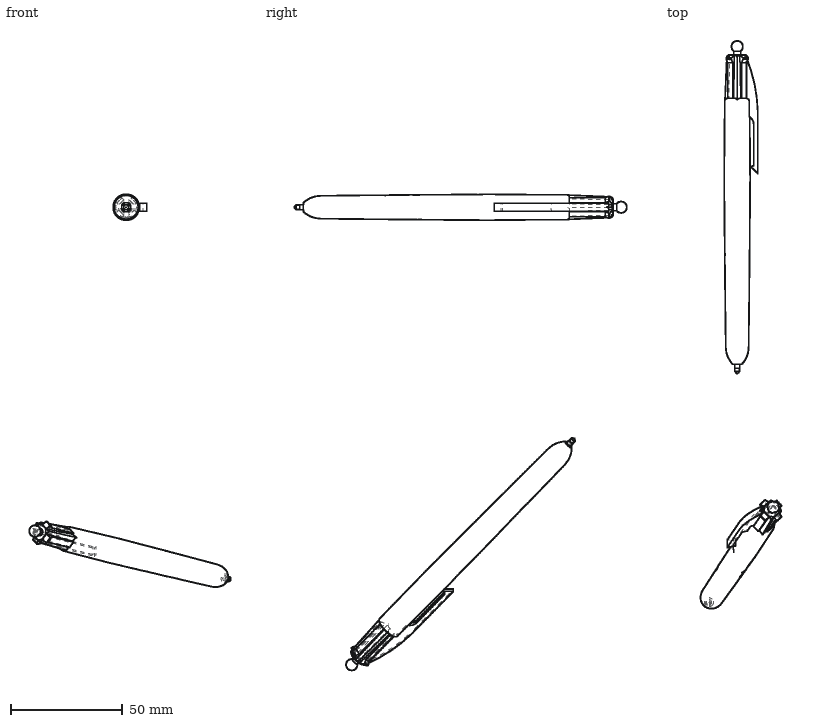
import cadquery as cq


PEN_LENGTH = 149.68
PEN_WIDTH = 15.18
BARREL_RADIUS = 5.88
CLIP_REACH = PEN_WIDTH - BARREL_RADIUS

TIP_RADIUS = 1.2
POINT_RADIUS = 1.1
TIP_STEP_Y = 2.5
POINT_CONE_Y = 1.0
POINT_END_RADIUS = 0.1

NOSE_END_Y = 4.2
NOSE_END_RADIUS = 2.08
NOSE_TOP_Y = 11.8
NOSE_TOP_RADIUS = 5.2
BAND_BOTTOM_Y = 86.9
BAND_TOP_Y = 88.7
BARREL_BOW = 0.06
BARREL_TOP_Y = 123.8
BARREL_TOP_RADIUS = 5.65
SHOULDER_ROUND = 1.2

HEAD_BOTTOM_Y = BARREL_TOP_Y - SHOULDER_ROUND
HEAD_TOP_Y = 143.5
HEAD_CORNER_BOTTOM = 5.55
HEAD_CORNER_TOP = 4.65
HEAD_TOP_RADIUS = 2.0
HEAD_ROUND_RADIUS = 4.9
HEAD_ROUND_HEIGHT = 1.9
SLIDER_COUNT = 4
SLIDER_OFFSET = 4.47
SLIDER_WIDTH = 3.2
GRIP_OFFSET = 5.35
GRIP_FOOT_Y = 139.9
GRIP_BOTTOM_Y = 141.4
GRIP_TOP_Y = 142.0
SLIDER_END_OFFSET = 2.9

BALL_RADIUS = 2.6
NECK_RADIUS = 1.65

CLIP_WIDTH = 3.6
CLIP_TOP_Y = 141.5
CLIP_TOP_X = 4.4
CLIP_BOW_Y = 132.0
CLIP_BOW_X = 7.45
CLIP_STRAIGHT_Y = 118.0
CLIP_END_Y = 90.0
CLIP_INNER_X = 7.35
CLIP_NUB_X = 6.1
CLIP_NUB_Y = 93.0
CLIP_NUB_HEIGHT = 0.6
GAP_TOP_Y = 112.4
GAP_ROOT_Y = 115.6
GAP_ROOT_X = 5.5
GAP_BOW = 0.4


def revolve_about_axis(profile):
    """Turn a closed half profile, drawn in XY, around the Y axis."""
    return profile.close().revolve(360, (0, 0, 0), (0, 1, 0))


def make_tip():
    profile = (
        cq.Workplane("XY")
        .lineTo(POINT_END_RADIUS, 0)
        .lineTo(POINT_RADIUS, POINT_CONE_Y)
        .lineTo(POINT_RADIUS, TIP_STEP_Y)
        .lineTo(TIP_RADIUS, TIP_STEP_Y)
        .lineTo(TIP_RADIUS, NOSE_TOP_Y)
        .lineTo(0, NOSE_TOP_Y)
    )
    return revolve_about_axis(profile)


def make_barrel():
    profile = (
        cq.Workplane("XY")
        .moveTo(0, NOSE_END_Y)
        .lineTo(0, BARREL_TOP_Y)
        .lineTo(BARREL_TOP_RADIUS - SHOULDER_ROUND, BARREL_TOP_Y)
        .radiusArc((BARREL_TOP_RADIUS, BARREL_TOP_Y - SHOULDER_ROUND), SHOULDER_ROUND)
        .lineTo(BARREL_RADIUS, BAND_TOP_Y)
        .lineTo(BARREL_RADIUS, BAND_BOTTOM_Y)
        .sagittaArc((NOSE_TOP_RADIUS, NOSE_TOP_Y), BARREL_BOW)
        .tangentArcPoint((NOSE_END_RADIUS, NOSE_END_Y), relative=False)
    )
    return revolve_about_axis(profile)


def make_slider():
    """One slider standing on +X: a flat bar with a raised finger grip and a sloping end."""
    profile = (
        cq.Workplane("XY")
        .moveTo(0, HEAD_BOTTOM_Y)
        .lineTo(SLIDER_OFFSET, HEAD_BOTTOM_Y)
        .lineTo(SLIDER_OFFSET, GRIP_FOOT_Y)
        .lineTo(GRIP_OFFSET, GRIP_BOTTOM_Y)
        .lineTo(GRIP_OFFSET, GRIP_TOP_Y)
        .lineTo(SLIDER_END_OFFSET, HEAD_TOP_Y)
        .lineTo(0, HEAD_TOP_Y)
        .close()
    )
    return profile.extrude(SLIDER_WIDTH / 2, both=True)


def square_on_corners(y, corner_radius):
    """Square section with its corners on the X and Z axes."""
    corners = [(corner_radius, 0), (0, corner_radius), (-corner_radius, 0), (0, -corner_radius)]
    points = [cq.Vector(x, y, z) for x, z in corners]
    return cq.Wire.makePolygon(points, close=True)


def make_core():
    """Square core that narrows toward the top, its upper corners cut back to a dome."""
    sections = [
        square_on_corners(HEAD_BOTTOM_Y, HEAD_CORNER_BOTTOM),
        square_on_corners(HEAD_TOP_Y, HEAD_CORNER_TOP),
    ]
    core = cq.Workplane(cq.Solid.makeLoft(sections, True))
    dome = (
        cq.Workplane("XY")
        .moveTo(0, HEAD_BOTTOM_Y)
        .lineTo(BARREL_RADIUS, HEAD_BOTTOM_Y)
        .lineTo(HEAD_ROUND_RADIUS, HEAD_TOP_Y - HEAD_ROUND_HEIGHT)
        .tangentArcPoint((HEAD_TOP_RADIUS, HEAD_TOP_Y), relative=False)
        .lineTo(0, HEAD_TOP_Y)
    )
    return core.intersect(revolve_about_axis(dome))


def make_head():
    head = make_core()
    spacing = 360 / SLIDER_COUNT
    for index in range(SLIDER_COUNT):
        angle = spacing * (index + 0.5)
        head = head.union(make_slider().rotate((0, 0, 0), (0, 1, 0), angle))
    return head


def make_ball_end():
    ball_y = PEN_LENGTH - BALL_RADIUS
    ball = cq.Workplane("XY").sphere(BALL_RADIUS).translate((0, ball_y, 0))
    neck = (
        cq.Workplane("XY")
        .moveTo(0, BARREL_TOP_Y)
        .lineTo(NECK_RADIUS, BARREL_TOP_Y)
        .lineTo(NECK_RADIUS, ball_y)
        .lineTo(0, ball_y)
    )
    return revolve_about_axis(neck).union(ball)


def make_clip():
    outline = (
        cq.Workplane("XY")
        .moveTo(0, CLIP_TOP_Y)
        .lineTo(CLIP_TOP_X, CLIP_TOP_Y)
        .threePointArc((CLIP_BOW_X, CLIP_BOW_Y), (CLIP_REACH, CLIP_STRAIGHT_Y))
        .lineTo(CLIP_REACH, CLIP_END_Y)
        .lineTo(CLIP_NUB_X, CLIP_NUB_Y)
        .lineTo(CLIP_INNER_X, CLIP_NUB_Y + CLIP_NUB_HEIGHT)
        .lineTo(CLIP_INNER_X, GAP_TOP_Y)
        .sagittaArc((GAP_ROOT_X, GAP_ROOT_Y), -GAP_BOW)
        .lineTo(0, GAP_ROOT_Y)
        .close()
    )
    return outline.extrude(CLIP_WIDTH / 2, both=True)


result = make_barrel().union(make_tip()).union(make_head()).union(make_ball_end()).union(make_clip())